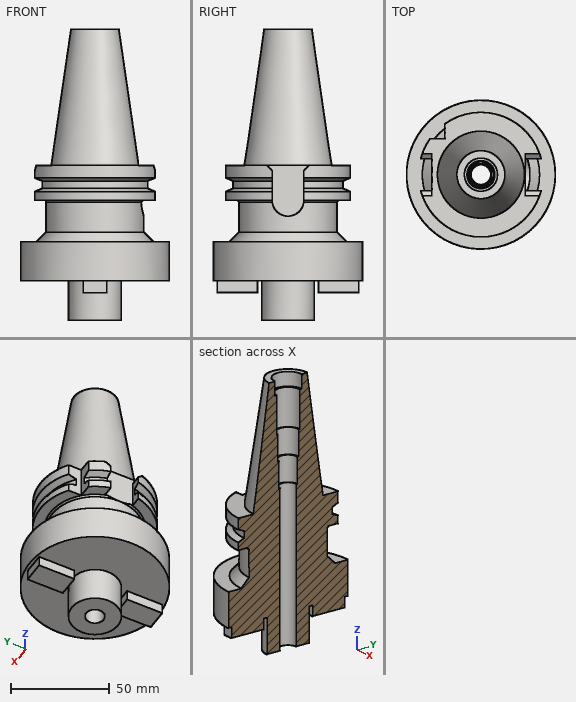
import cadquery as cq

total_height = 148.4
disc_bottom = 20.0
disc_top = 40.0
neck_bottom = 45.0
flange_bottom = 61.1
flange_top = 79.0
gauge_plane = 80.0

pilot_radius = 27.0 / 2
disc_radius = 76.0 / 2
neck_radius = 50.0 / 2
shoulder_radius = neck_radius + neck_bottom - disc_top
flange_radius = 63.5 / 2
gauge_radius = 44.4 / 2
taper_tip_radius = 24.5 / 2

collar_height = 0.9

groove_radius = 56.2 / 2
groove_lower_edge = 65.6
groove_lower_root = 67.2
groove_upper_root = 71.0
groove_upper_edge = 72.5

through_radius = 5.0
socket_radius = 8.5
socket_depth = 8.0
step_radius = 7.1
step_depth = 29.7
inner_step_radius = 6.5
inner_step_depth = 44.5
seat_radius = 5.6
seat_depth = 59.4

slot_width = 16.2
slot_chamfer = 2.7
shallow_slot_floor = neck_radius
deep_slot_floor = 22.7

notch_offset = 18.4
key_width = 12.0
key_height = 6.0
key_inner = 15.5
key_outer = 36.0


def turned_body():
    profile = [
        (0, 0),
        (pilot_radius, 0),
        (pilot_radius, disc_bottom),
        (disc_radius, disc_bottom),
        (disc_radius, disc_top),
        (shoulder_radius, disc_top),
        (neck_radius, neck_bottom),
        (neck_radius, flange_bottom - collar_height),
        (neck_radius + collar_height, flange_bottom),
        (flange_radius, flange_bottom),
        (flange_radius, groove_lower_edge),
        (groove_radius, groove_lower_root),
        (groove_radius, groove_upper_root),
        (flange_radius, groove_upper_edge),
        (flange_radius, flange_top),
        (gauge_radius, flange_top),
        (gauge_radius, gauge_plane),
        (taper_tip_radius, total_height),
        (0, total_height),
    ]
    return cq.Workplane("XZ").polyline(profile).close().revolve(360, (0, 0), (0, 1))


def bore(radius, depth):
    return cq.Workplane("XY").workplane(offset=total_height - depth).circle(radius).extrude(depth)


def drive_slot(floor, bottom):
    """Slot opening towards +X, with its upper edges chamfered."""
    half = slot_width / 2
    chamfer_start = flange_top - slot_chamfer
    section = [
        (-half, bottom),
        (half, bottom),
        (half, chamfer_start),
        (half + slot_chamfer, flange_top),
        (-half - slot_chamfer, flange_top),
        (-half, chamfer_start),
    ]
    length = disc_radius - floor
    return cq.Workplane("YZ").workplane(offset=floor).polyline(section).close().extrude(length)


def slot_runout():
    """Half-round lower end of the deep slot, running down into the neck."""
    return (
        cq.Workplane("YZ")
        .workplane(offset=deep_slot_floor)
        .center(0, flange_bottom)
        .circle(slot_width / 2)
        .extrude(neck_radius + collar_height - deep_slot_floor)
    )


def orientation_notch():
    height = flange_top - flange_bottom + collar_height
    block = cq.Workplane("XY").box(disc_radius, disc_radius, height, centered=False)
    corner = (-notch_offset - disc_radius, notch_offset, flange_bottom - collar_height)
    return block.translate(corner)


def drive_keys():
    key_centre = (key_inner + key_outer) / 2
    return (
        cq.Workplane("XY")
        .workplane(offset=disc_bottom)
        .pushPoints([(0, key_centre), (0, -key_centre)])
        .rect(key_width, key_outer - key_inner)
        .extrude(-key_height)
    )


result = turned_body().union(drive_keys())

for radius, depth in (
    (socket_radius, socket_depth),
    (step_radius, step_depth),
    (inner_step_radius, inner_step_depth),
    (seat_radius, seat_depth),
    (through_radius, total_height),
):
    result = result.cut(bore(radius, depth))

shallow_slot = drive_slot(shallow_slot_floor, flange_bottom - collar_height)
result = result.cut(shallow_slot.rotate((0, 0, 0), (0, 0, 1), 180))
result = result.cut(drive_slot(deep_slot_floor, flange_bottom))
result = result.cut(slot_runout())
result = result.cut(orientation_notch())